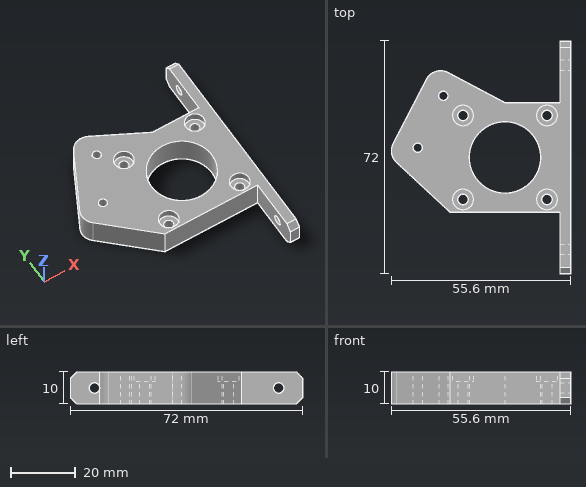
import cadquery as cq

thickness = 10.0
block_half = 17.0
flange_length = 72.0
flange_thickness = 3.4
flange_chamfer = 2.0

bore_diameter = 22.0
screw_spacing = 26.0
screw_diameter = 3.2
counterbore_diameter = 6.4
counterbore_depth = 3.0

arm_lower_corner = (-36.35, 1.0)
arm_upper_corner = (-22.0, 28.65)
arm_corner_radius = 5.0
arm_hole_diameter = 2.8
arm_hole_centers = [(-19.1, 19.1), (-27.0, 3.0)]

flange_hole_spacing = 57.0
flange_hole_diameter = 3.2


def make_body():
    """Square motor block with a slanted arm whose two outer corners are rounded."""
    outline = [
        (block_half, -block_half),
        (block_half, block_half),
        (0, block_half),
        arm_upper_corner,
        arm_lower_corner,
        (-block_half, -block_half),
    ]
    body = cq.Workplane("XY").polyline(outline).close().extrude(thickness)
    for corner in (arm_upper_corner, arm_lower_corner):
        edge = cq.selectors.NearestToPointSelector((*corner, thickness / 2))
        body = body.edges("|Z").edges(edge).fillet(arm_corner_radius)
    return body


def make_flange():
    """Upright mounting flange with chamfered ends and one hole near each end."""
    flange = (
        cq.Workplane("XY")
        .box(flange_thickness, flange_length, thickness)
        .edges("|X")
        .chamfer(flange_chamfer)
        .faces("<X")
        .workplane(centerOption="CenterOfBoundBox")
        .rarray(flange_hole_spacing, 0.7, 2, 1)
        .hole(flange_hole_diameter)
    )
    return flange.translate((block_half + flange_thickness / 2, 0, thickness / 2))


def cut_holes(part):
    """Central bore, four counterbored screw holes and two plain arm holes."""
    top = part.faces(">Z").workplane(origin=(0, 0, thickness))
    part = top.hole(bore_diameter)
    top = part.faces(">Z").workplane(origin=(0, 0, thickness))
    part = top.rarray(screw_spacing, screw_spacing, 2, 2).cboreHole(
        screw_diameter, counterbore_diameter, counterbore_depth
    )
    top = part.faces(">Z").workplane(origin=(0, 0, thickness))
    return top.pushPoints(arm_hole_centers).hole(arm_hole_diameter)


result = cut_holes(make_body().union(make_flange()))